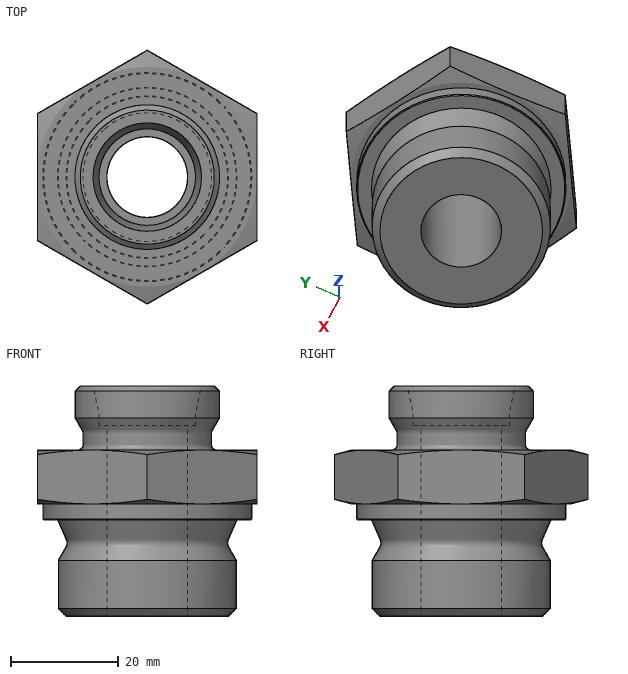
import cadquery as cq
import math

total_height = 43.0
collar_bottom = 18.0
hex_bottom = 20.95
hex_top = 31.0

groove_angle = 30.0

stud_radius = 16.6
stud_chamfer = 1.45
stud_top = 10.45
stud_groove_radius = 15.0
undercut_angle = 23.5
stud_groove_arc = 1.6
collar_radius = 39.0 / 2
collar_chamfer = 0.2

hex_across_corners = 47.35
hex_chamfer_angle = 15.0

head_radius = 27.0 / 2
head_chamfer = 1.0
head_bottom = 37.0
neck_radius = 24.0 / 2
neck_root_fillet = 1.0
neck_top_fillet = 1.0

bore_radius = 15.0 / 2
seat_radius = 18.0 / 2
mouth_radius = 20.2 / 2
seat_cone_angle = 12.0
seat_depth = 7.4


def tangent(angle):
    return math.tan(math.radians(angle))


def revolve_outline(points):
    """Revolve a closed (radius, height) outline about the Z axis."""
    return cq.Workplane("XZ").polyline(points).close().revolve(360, (0, 0, 0), (0, 1, 0))


def fillet_circle(body, radius, height, fillet):
    """Round the circular edge of the given radius at the given height."""
    margin = 0.005
    reach = radius + margin
    selector = cq.selectors.BoxSelector(
        (-reach, -reach, height - margin), (reach, reach, height + margin), boundingbox=True
    )
    return body.edges(selector).fillet(fillet)


def make_lower_stud():
    low = math.radians(groove_angle)
    high = math.radians(undercut_angle)
    arc_center = stud_groove_radius + stud_groove_arc
    arc_start_radius = arc_center - stud_groove_arc * math.cos(low)
    arc_end_radius = arc_center - stud_groove_arc * math.cos(high)
    arc_start = stud_top + (stud_radius - arc_start_radius) / tangent(groove_angle)
    throat = arc_start + stud_groove_arc * math.sin(low)
    arc_end = throat + stud_groove_arc * math.sin(high)
    undercut_outer_radius = arc_end_radius + (collar_bottom - arc_end) * tangent(undercut_angle)
    return (
        cq.Workplane("XZ")
        .moveTo(0, 0)
        .lineTo(stud_radius - stud_chamfer, 0)
        .lineTo(stud_radius, stud_chamfer)
        .lineTo(stud_radius, stud_top)
        .lineTo(arc_start_radius, arc_start)
        .threePointArc((stud_groove_radius, throat), (arc_end_radius, arc_end))
        .lineTo(undercut_outer_radius, collar_bottom)
        .lineTo(collar_radius - collar_chamfer, collar_bottom)
        .lineTo(collar_radius, collar_bottom + collar_chamfer)
        .lineTo(collar_radius, hex_bottom)
        .lineTo(0, hex_bottom)
        .close()
        .revolve(360, (0, 0, 0), (0, 1, 0))
    )


def make_hexagon():
    corner_radius = hex_across_corners / 2
    flat_radius = corner_radius * math.cos(math.pi / 6)
    corner_drop = (corner_radius - flat_radius) * tangent(hex_chamfer_angle)
    prism = (
        cq.Workplane("XY", origin=(0, 0, hex_bottom))
        .polygon(6, hex_across_corners)
        .extrude(hex_top - hex_bottom)
        .rotate((0, 0, 0), (0, 0, 1), 90)
    )
    chamfer_envelope = revolve_outline([
        (0, hex_bottom),
        (flat_radius, hex_bottom),
        (corner_radius, hex_bottom + corner_drop),
        (corner_radius, hex_top - corner_drop),
        (flat_radius, hex_top),
        (0, hex_top),
    ])
    return prism.intersect(chamfer_envelope)


def make_upper_stud():
    neck_top = head_bottom - (head_radius - neck_radius) / tangent(groove_angle)
    body = revolve_outline([
        (0, hex_top),
        (neck_radius, hex_top),
        (neck_radius, neck_top),
        (head_radius, head_bottom),
        (head_radius, total_height - head_chamfer),
        (head_radius - head_chamfer, total_height),
        (0, total_height),
    ])
    return fillet_circle(body, neck_radius, neck_top, neck_top_fillet)


def make_bore():
    seat_cone_depth = (mouth_radius - seat_radius) / tangent(seat_cone_angle)
    seat_bottom = total_height - seat_depth
    return revolve_outline([
        (0, 0),
        (bore_radius, 0),
        (bore_radius, seat_bottom),
        (seat_radius, seat_bottom),
        (seat_radius, total_height - seat_cone_depth),
        (mouth_radius, total_height),
        (0, total_height),
    ])


solid_body = make_lower_stud().union(make_hexagon()).union(make_upper_stud())
solid_body = fillet_circle(solid_body, neck_radius, hex_top, neck_root_fillet)
result = solid_body.cut(make_bore())